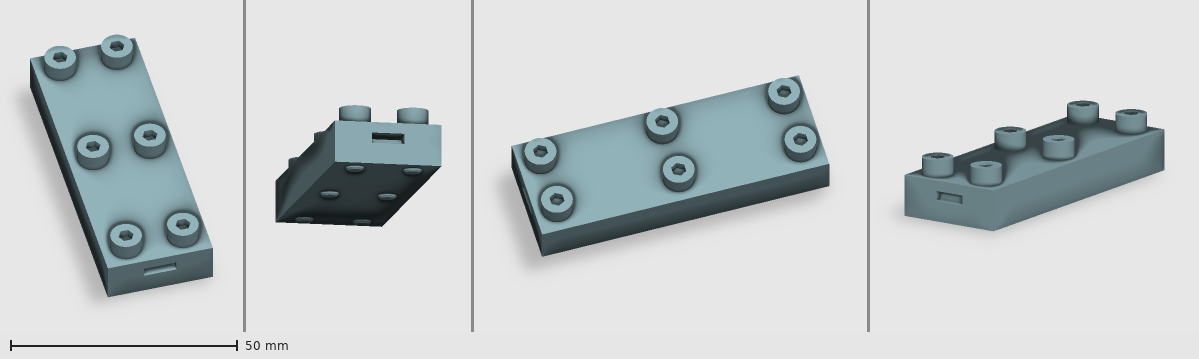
import cadquery as cq
import math

LENGTH = 66.0
WIDTH = 24.0
UPPER_THICKNESS = 4.6
LOWER_THICKNESS = 4.7

SLOT_WIDTH = 7.4
SLOT_HEIGHT = 2.25

RIDGE_WIDTH = 6.6
RIDGE_HEIGHT = 1.2
RIDGE_INSET = 1.3
RIDGE_END_ANGLE = 25.0
RIDGE_CREST_FILLET = 0.25
RIDGE_FOOT_FILLET = 0.4

SCREW_END_MARGIN = 5.0
SCREW_ROW_SPACING = 13.0
SCREWS_PER_ROW = 3
HEAD_DIAMETER = 7.0
HEAD_HEIGHT = 3.95
SHANK_DIAMETER = 4.0
TIP_DIAMETER = 3.25
SHANK_LENGTH = 10.0
CLEARANCE_DIAMETER = 4.5
SOCKET_FLATS = 3.0
SOCKET_DEPTH = 2.0
SOCKET_CONE_ANGLE = 140.0

SCREW_PITCH = (LENGTH - 2 * SCREW_END_MARGIN) / (SCREWS_PER_ROW - 1)
SCREW_POINTS = [
    (-LENGTH / 2 + SCREW_END_MARGIN + column * SCREW_PITCH, side * SCREW_ROW_SPACING / 2)
    for side in (-1, 1)
    for column in range(SCREWS_PER_ROW)
]


def screw_holes(diameter, bottom, height):
    """Cylinders on every screw axis, for cutting the holes of a plate."""
    return (
        cq.Workplane("XY", origin=(0, 0, bottom))
        .pushPoints(SCREW_POINTS)
        .circle(diameter / 2)
        .extrude(height)
    )


def make_upper_plate():
    """Plate with a full-length slot below and clearance holes for the screws."""
    plate = cq.Workplane("XY").box(LENGTH, WIDTH, UPPER_THICKNESS, centered=(True, True, False))
    slot = cq.Workplane("XY").box(LENGTH, SLOT_WIDTH, SLOT_HEIGHT, centered=(True, True, False))
    return plate.cut(slot).cut(screw_holes(CLEARANCE_DIAMETER, 0, UPPER_THICKNESS))


def make_ridge():
    """Trapezoidal ridge with sloped ends and rounded crest edges."""
    foot_x = LENGTH / 2 - RIDGE_INSET
    crest_x = foot_x - RIDGE_HEIGHT * math.tan(math.radians(RIDGE_END_ANGLE))
    return (
        cq.Workplane("XZ", origin=(0, RIDGE_WIDTH / 2, 0))
        .polyline([(-foot_x, 0), (foot_x, 0), (crest_x, RIDGE_HEIGHT), (-crest_x, RIDGE_HEIGHT)])
        .close()
        .extrude(RIDGE_WIDTH)
        .edges("|Y and >Z")
        .fillet(RIDGE_CREST_FILLET)
    )


def make_foot_fillet():
    """Concave rounding between the joint plane and the sloped ridge end at +X."""
    foot_x = LENGTH / 2 - RIDGE_INSET
    lean = math.radians(RIDGE_END_ANGLE)
    half_turn = (math.pi / 2 - lean) / 2
    setback = RIDGE_FOOT_FILLET * math.tan(half_turn)
    centre_x = foot_x + setback
    floor_point = (centre_x, 0)
    middle_point = (
        centre_x - RIDGE_FOOT_FILLET * math.sin(half_turn),
        RIDGE_FOOT_FILLET * (1 - math.cos(half_turn)),
    )
    slope_point = (foot_x - setback * math.sin(lean), setback * math.cos(lean))
    return (
        cq.Workplane("XZ", origin=(0, RIDGE_WIDTH / 2, 0))
        .moveTo(foot_x, 0)
        .lineTo(*floor_point)
        .threePointArc(middle_point, slope_point)
        .close()
        .extrude(RIDGE_WIDTH)
    )


def make_lower_plate():
    """Plate with the ridge on top and holes that fit the screw shanks."""
    plate = cq.Workplane("XY", origin=(0, 0, -LOWER_THICKNESS)).box(
        LENGTH, WIDTH, LOWER_THICKNESS, centered=(True, True, False)
    )
    foot_fillet = make_foot_fillet()
    plate = plate.union(make_ridge()).union(foot_fillet).union(foot_fillet.mirror("YZ"))
    return plate.cut(screw_holes(SHANK_DIAMETER, -LOWER_THICKNESS, LOWER_THICKNESS))


def make_socket():
    """Hexagonal socket, open at Z = HEAD_HEIGHT, with a conical floor."""
    floor_height = HEAD_HEIGHT - SOCKET_DEPTH
    corner_radius = SOCKET_FLATS / 2 / math.cos(math.pi / 6)
    cone_depth = corner_radius / math.tan(math.radians(SOCKET_CONE_ANGLE / 2))
    cone_tip = floor_height - cone_depth
    hexagon = (
        cq.Workplane("XY", origin=(0, 0, cone_tip))
        .transformed(rotate=(0, 0, 30))
        .polygon(6, 2 * corner_radius)
        .extrude(HEAD_HEIGHT - cone_tip)
    )
    drilled_bore = (
        cq.Workplane("XZ")
        .moveTo(0, HEAD_HEIGHT)
        .lineTo(corner_radius, HEAD_HEIGHT)
        .lineTo(corner_radius, floor_height)
        .lineTo(0, cone_tip)
        .close()
        .revolve(360, (0, 0), (0, 1))
    )
    return hexagon.intersect(drilled_bore)


def make_screw():
    """Socket head screw with the underside of its head at Z = 0."""
    head = cq.Workplane("XY").circle(HEAD_DIAMETER / 2).extrude(HEAD_HEIGHT)
    shank = (
        cq.Workplane("XY")
        .circle(SHANK_DIAMETER / 2)
        .extrude(-SHANK_LENGTH)
        .faces("<Z")
        .chamfer((SHANK_DIAMETER - TIP_DIAMETER) / 2)
    )
    return head.union(shank).cut(make_socket())


upper_plate = make_upper_plate()
lower_plate = make_lower_plate()

screw = make_screw()
screws = []
for screw_x, screw_y in SCREW_POINTS:
    screws.append(screw.translate((screw_x, screw_y, UPPER_THICKNESS)).val())

result = cq.Compound.makeCompound([upper_plate.val(), lower_plate.val(), *screws])